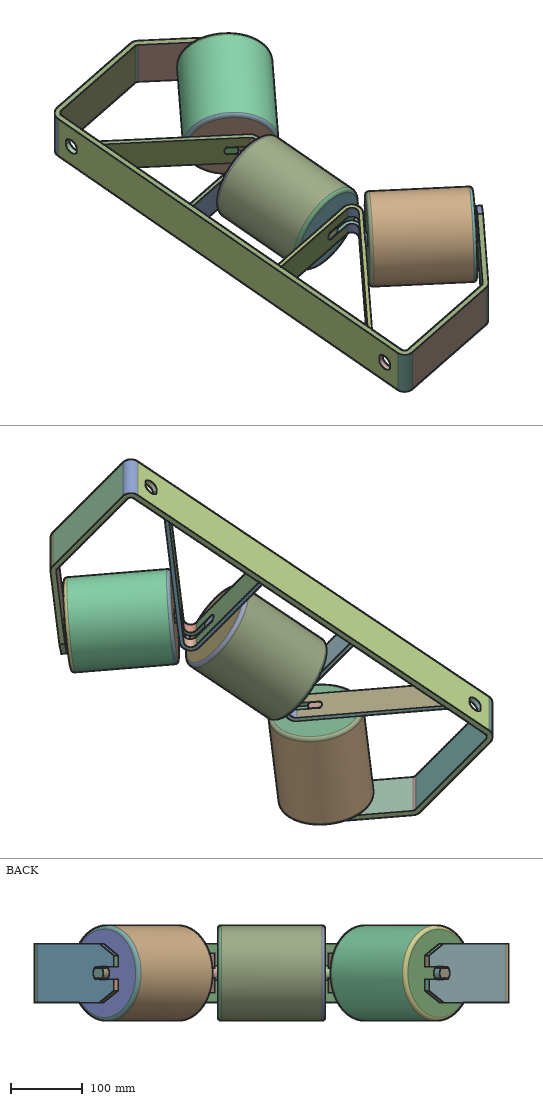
import cadquery as cq
import math

ROLLER_DIAMETER = 133.0
ROLLER_LENGTH = 150.0
ROLLER_EDGE_RADIUS = 5.0
SHAFT_DIAMETER = 20.0
SHAFT_FLAT_WIDTH = 14.0
ROLLER_GAP = 4.0

FRAME_LENGTH = 660.0
FRAME_HEIGHT = 82.0
FRAME_THICKNESS = 8.0
FRAME_BEND_RADIUS = 14.5
SIDE_LENGTH = 174.0
ARM_LENGTH = 157.0
ARM_CHAMFER_ALONG = 28.5
ARM_CHAMFER_ACROSS = 16.5
ARM_SLOT_WIDTH = 18.0
MOUNT_HOLE_WIDTH = 20.0
MOUNT_HOLE_HEIGHT = 27.0
MOUNT_HOLE_INSET = 39.0

BRACKET_HEIGHT = 55.0
BRACKET_THICKNESS = 6.0
BRACKET_BEND_RADIUS = 16.0
BRACKET_SLOT_WIDTH = 16.0

MIDDLE_ROLLER_Y = 125.0
SIDE_ROLLER_ALONG_ARM = 126.0

DIAGONAL = math.sqrt(0.5)
ALONG_ARM = cq.Vector(DIAGONAL, DIAGONAL, 0)
INTO_FRAME = cq.Vector(DIAGONAL, -DIAGONAL, 0)
X_AXIS = cq.Vector(1, 0, 0)
Y_AXIS = cq.Vector(0, 1, 0)

half_length = FRAME_LENGTH / 2
shaft_radius = SHAFT_DIAMETER / 2
arm_corner = cq.Vector(-half_length, SIDE_LENGTH, 0)
arm_tip = arm_corner + ALONG_ARM * ARM_LENGTH
arm_shaft_point = arm_corner + ALONG_ARM * SIDE_ROLLER_ALONG_ARM
side_roller_centre = arm_shaft_point + INTO_FRAME * (FRAME_THICKNESS + ROLLER_GAP + ROLLER_LENGTH / 2)
middle_roller_centre = cq.Vector(0, MIDDLE_ROLLER_Y, 0)
plate_reach = ROLLER_LENGTH / 2 + ROLLER_GAP


def mirrored(body):
    """The matching body on the right half."""
    return body.mirror("YZ")


def bent_strip(outer_points, thickness, bend_radius, height):
    """Strip standing on edge; its thickness lies to the left of the path along its outer face."""
    directions = [(end - start).normalized() for start, end in zip(outer_points, outer_points[1:])]
    normals = [cq.Vector(-d.y, d.x, 0) for d in directions]
    inner_points = [outer_points[0] + normals[0] * thickness]
    for point, before, after in zip(outer_points[1:], normals, normals[1:]):
        inner_points.append(point + (before + after) * (thickness / (1 + before.dot(after))))
    inner_points.append(outer_points[-1] + normals[-1] * thickness)

    outline = [(p.x, p.y) for p in outer_points + inner_points[::-1]]
    strip = cq.Workplane("XY", origin=(0, 0, -height / 2)).polyline(outline).close().extrude(height)
    for points, radius in ((outer_points, bend_radius), (inner_points, bend_radius - thickness)):
        for bend in points[1:-1]:
            strip = strip.edges(cq.selectors.NearestToPointSelector(bend.toTuple())).fillet(radius)
    return strip


def shaft_slot(origin, open_direction, depth_direction, width, length, depth):
    """Cutter for a slot that ends in an arc seating the shaft and opens along open_direction."""
    plane = cq.Plane(origin, xDir=open_direction, normal=depth_direction)
    half_width = width / 2
    arc_start = -math.sqrt(shaft_radius**2 - half_width**2)
    return (
        cq.Workplane(plane)
        .moveTo(length, half_width)
        .lineTo(arc_start, half_width)
        .threePointArc((-shaft_radius, 0), (arc_start, -half_width))
        .lineTo(length, -half_width)
        .close()
        .extrude(depth)
    )


def arm_tip_chamfers():
    """Cutter for the two corners of the left arm's tip."""
    half_height = FRAME_HEIGHT / 2
    plane = cq.Plane(arm_tip, xDir=ALONG_ARM, normal=INTO_FRAME)
    cutter = cq.Workplane(plane)
    for side in (-1, 1):
        corner = [
            (0, side * half_height),
            (-ARM_CHAMFER_ALONG, side * half_height),
            (0, side * (half_height - ARM_CHAMFER_ACROSS)),
        ]
        cutter = cutter.add(cq.Workplane(plane).polyline(corner).close().extrude(FRAME_THICKNESS))
    return cutter.combine()


def mount_holes():
    """Cutter for the upright slotted holes near both ends of the back."""
    centre_x = half_length - MOUNT_HOLE_INSET
    return (
        cq.Workplane("XZ")
        .pushPoints([(-centre_x, 0), (centre_x, 0)])
        .slot2D(MOUNT_HOLE_HEIGHT, MOUNT_HOLE_WIDTH, 90)
        .extrude(-FRAME_THICKNESS)
    )


def make_frame():
    left_path = [arm_tip, arm_corner, cq.Vector(-half_length, 0, 0)]
    right_path = [cq.Vector(-p.x, p.y, 0) for p in reversed(left_path)]
    frame = bent_strip(left_path + right_path, FRAME_THICKNESS, FRAME_BEND_RADIUS, FRAME_HEIGHT)
    slot_length = ARM_LENGTH - SIDE_ROLLER_ALONG_ARM
    arm_slot = shaft_slot(
        arm_shaft_point, ALONG_ARM, INTO_FRAME, ARM_SLOT_WIDTH, slot_length, FRAME_THICKNESS
    )
    for cutter in (arm_slot, arm_tip_chamfers()):
        frame = frame.cut(cutter).cut(mirrored(cutter))
    return frame.cut(mount_holes())


def make_left_bracket():
    upright_face = middle_roller_centre - X_AXIS * plate_reach
    sloping_face = side_roller_centre + INTO_FRAME * plate_reach
    upright_foot = cq.Vector(upright_face.x, FRAME_THICKNESS, 0)
    apex = cq.Vector(upright_face.x, sloping_face.y + upright_face.x - sloping_face.x, 0)
    sloping_foot_y = FRAME_THICKNESS + BRACKET_THICKNESS * DIAGONAL
    sloping_foot = cq.Vector(apex.x - (apex.y - sloping_foot_y), sloping_foot_y, 0)
    bracket = bent_strip(
        [upright_foot, apex, sloping_foot], BRACKET_THICKNESS, BRACKET_BEND_RADIUS, BRACKET_HEIGHT
    )

    for face, open_direction, depth_direction in (
        (upright_face, Y_AXIS, X_AXIS * -1),
        (sloping_face, ALONG_ARM, INTO_FRAME),
    ):
        slot_length = (apex - face).Length
        slot = shaft_slot(
            face, open_direction, depth_direction, BRACKET_SLOT_WIDTH, slot_length, BRACKET_BEND_RADIUS
        )
        bracket = bracket.cut(slot)
    return bracket


def centred_cylinder(centre, axis, radius, length):
    """Cylinder along axis with its middle at centre."""
    plane = cq.Plane(centre - axis * (length / 2), xDir=(0, 0, 1), normal=axis)
    return cq.Workplane(plane).circle(radius).extrude(length)


def shaft_end(start, direction, length):
    """Flatted shaft end running from start, with flats facing up and down."""
    plane = cq.Plane(start, xDir=(0, 0, 1), normal=direction)
    round_end = cq.Workplane(plane).circle(shaft_radius).extrude(length)
    flats = cq.Workplane(plane).rect(SHAFT_FLAT_WIDTH, SHAFT_DIAMETER).extrude(length)
    return round_end.intersect(flats)


def make_roller(centre, axis, start_plate, end_plate):
    """Roller along axis, its shaft ends filling plates of the given thicknesses."""
    drum = centred_cylinder(centre, axis, ROLLER_DIAMETER / 2, ROLLER_LENGTH)
    drum = drum.edges("%CIRCLE").fillet(ROLLER_EDGE_RADIUS)
    roller = drum.union(centred_cylinder(centre, axis, shaft_radius, 2 * plate_reach))
    for direction, plate in ((axis * -1, start_plate), (axis, end_plate)):
        roller = roller.union(shaft_end(centre + direction * plate_reach, direction, plate))
    return roller


frame = make_frame()
left_bracket = make_left_bracket()
left_roller = make_roller(side_roller_centre, INTO_FRAME, FRAME_THICKNESS, BRACKET_THICKNESS)
middle_roller = make_roller(middle_roller_centre, X_AXIS, BRACKET_THICKNESS, BRACKET_THICKNESS)

bodies = [frame, middle_roller]
for left_body in (left_bracket, left_roller):
    bodies += [left_body, mirrored(left_body)]

result = cq.Compound.makeCompound([body.solids().val() for body in bodies])